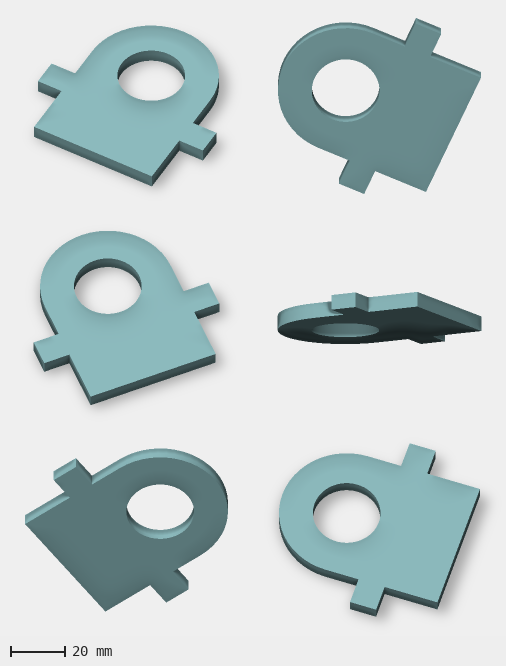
import cadquery as cq

overall_width = 70.0
overall_length = 68.5
thickness = 5.5
body_width = 50.0
hole_diameter = body_width / 2
tab_width = 10.15
tab_offset = 20.5

end_radius = body_width / 2
hole_y = overall_length - end_radius

body = (
    cq.Workplane("XY")
    .moveTo(-end_radius, 0)
    .lineTo(end_radius, 0)
    .lineTo(end_radius, hole_y)
    .threePointArc((0, overall_length), (-end_radius, hole_y))
    .close()
    .extrude(thickness)
)

tabs = (
    cq.Workplane("XY")
    .center(0, tab_offset + tab_width / 2)
    .rect(overall_width, tab_width)
    .extrude(thickness)
)

hole = (
    cq.Workplane("XY")
    .center(0, hole_y)
    .circle(hole_diameter / 2)
    .extrude(thickness)
)

result = body.union(tabs).cut(hole)